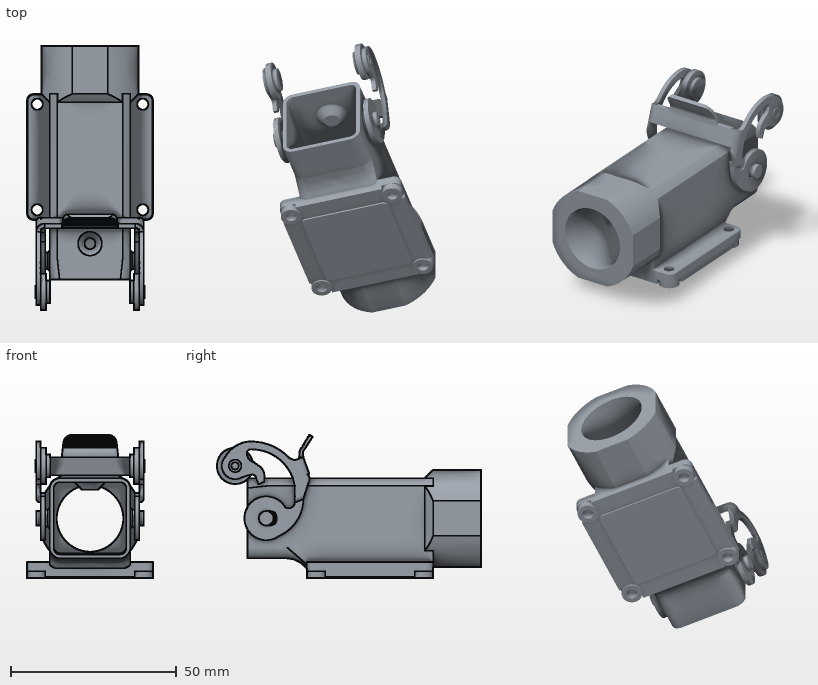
import cadquery as cq
import math


DIAGONAL = math.sqrt(0.5)
FILLET_INSET = 1 - DIAGONAL

PLATE_SIDE = 38.0
PLATE_TOP = 5.0
PLATE_CORNER = 2.1
PLATE_BEVEL = 0.2
HOLE_OFFSET = 15.9
HOLE_RADIUS = 1.65
FOOT_RADIUS = PLATE_SIDE / 2 - HOLE_OFFSET
FOOT_HEIGHT = 2.05
RELIEF_OFFSET = 13.5
PAD_SIDE = 2 * RELIEF_OFFSET
PAD_CORNER = 1.3
PAD_HEIGHT = 0.5
PLATE_HALF = PLATE_SIDE / 2

BODY_HALF = 12.15
AXIS_Z = 18.0
BODY_TOP = AXIS_Z + BODY_HALF

ENTRY_SIDE = 29.3
ENTRY_RADIUS = 15.57
ENTRY_END_Y = 33.5
ENTRY_TAPER = ENTRY_SIDE / 2 - BODY_HALF

ROOF_EDGE_STEP = 0.05
ROOF_EDGE_RADIUS = ENTRY_RADIUS + ROOF_EDGE_STEP
ROOF_EDGE_LEG = BODY_HALF - math.sqrt(ROOF_EDGE_RADIUS**2 - BODY_HALF**2)
ROOF_EDGE_INSET = BODY_HALF - ROOF_EDGE_RADIUS * DIAGONAL
ROOF_EDGE = (ROOF_EDGE_LEG, ROOF_EDGE_INSET)

MOUTH_Y = -36.9
MOUTH_TAPER_Y = -30.8
MOUTH_TOP_RADIUS = 3.0
MOUTH_BOTTOM = 5.93
MOUTH_BOTTOM_RADIUS = 3.3
RAMP_Y = -24.9
RAMP_FOOT_Z = 3.0
RAMP_FOOT_ROUND = 1.1
RAMP_SECTIONS = 4

WALL = 1.2
CAVITY_RADIUS = 2.0
FLOOR_DRAFT = 0.4
CAVITY_END_Y = 14.0
BORE_RADIUS = 10.0

DIMPLE_Y = -26.1
DIMPLE_TOP_RADIUS = 3.6
DIMPLE_FLOOR_RADIUS = 1.65
DIMPLE_DEPTH = 2.4
DIMPLE_WALL_TOP_RADIUS = 4.7
DIMPLE_WALL_END_RADIUS = 2.4
DIMPLE_WALL_END_Z = 26.6

PIVOT = (-31.25, 18.05)
PIVOT_CONE_RADIUS = 3.1
PIVOT_BOSS_RADIUS = 2.56
PIVOT_CONE_END = 12.75
PIN_RADIUS = 2.2
PIN_CLEARANCE = 1.0
PIVOT_DISC_RADIUS = 6.6

LOWER_ARM_INNER = 13.45
LOWER_ARM_OUTER = 14.9
ARM_OUTER = 16.25
ARM_THICKNESS = ARM_OUTER - LOWER_ARM_OUTER
JOG_ROUND = 1.3

BAR_TILT = 19.7
BAR_FOOT = (-19.26, 26.5)
BAR_LENGTH = 9.68
BEND_RADIUS = 2.6
BAR_CUTBACK = 3.3
WEB_FOOT = 4.3
WEB_TOP_Z = 36.45
WEB_STUB = 1.0
BAR_OVERLAP = 0.3

TAB_TOP = 43.2
TAB_FOOT_Z = 36.0
TAB_HALF_FOOT = 8.6
TAB_HALF_TOP = 7.8
TAB_CORNER = 2.8
GRIP_FIRST = (-18.64, 42.8)
GRIP_SLOPE = 58.8
GRIP_COUNT = 5
GRIP_PITCH = 0.95
GRIP_GROOVE_RADIUS = 0.25

ROLLER = (-40.63, 33.83)
ROLLER_RADIUS = 5.5
ROLLER_INNER = 13.2
ROLLER_BOSS_RADIUS = 3.5
ROLLER_BOSS_INNER = 12.0
ARM_END_RADIUS = 4.0
ARM_END_ANGLES = (137, 225, 300)
RIVET_RADIUS = 1.88
RIVET_OUTER = 16.45
RIVET_DIMPLE_RADIUS = 1.1
RIVET_DIMPLE_DEPTH = 0.2


def disc(centre, radius, x_start, x_end):
    """Cylinder along X about a (Y, Z) centre."""
    return cq.Workplane("YZ", origin=(x_start, *centre)).circle(radius).extrude(x_end - x_start)


def cone(start, direction, radius_start, radius_end, length):
    solid = cq.Solid.makeCone(radius_start, radius_end, length, cq.Vector(*start), cq.Vector(*direction))
    return cq.Workplane(obj=solid)


def box(x_range, y_range, z_range):
    size = [high - low for low, high in (x_range, y_range, z_range)]
    corner = (x_range[0], y_range[0], z_range[0])
    return cq.Workplane("XY", origin=corner).box(*size, centered=False)


def both_sides(half):
    return half.union(half.mirror("YZ"))


def fillet_round(radius):
    return radius, FILLET_INSET * radius


def tube_section(y, half, top, bottom, top_round, bottom_round):
    """Closed cross-section at Y with arcs across its corners.

    top_round is (leg along each side, inset of the arc's middle from the corner);
    bottom_round is (width, height).
    """
    leg, inset = top_round
    width, height = bottom_round
    inner_top = half - leg
    inner_bottom = half - width
    top_mid = (half - inset, top - inset)
    bottom_mid = (half - FILLET_INSET * width, bottom + FILLET_INSET * height)
    outline = (
        cq.Workplane("XZ", origin=(0, y, 0))
        .moveTo(-inner_top, top)
        .lineTo(inner_top, top)
        .threePointArc(top_mid, (half, top - leg))
        .lineTo(half, bottom + height)
        .threePointArc(bottom_mid, (inner_bottom, bottom))
        .lineTo(-inner_bottom, bottom)
        .threePointArc((-bottom_mid[0], bottom_mid[1]), (-half, bottom + height))
        .lineTo(-half, top - leg)
        .threePointArc((-top_mid[0], top_mid[1]), (-inner_top, top))
        .close()
    )
    return outline.ctx.pendingWires[0]


def ruled_loft(sections):
    return cq.Workplane(obj=cq.Solid.makeLoft(sections, True))


def base_plate():
    plate = box((-PLATE_HALF, PLATE_HALF), (-PLATE_HALF, PLATE_HALF), (0, PLATE_TOP))
    plate = plate.edges("|Z").fillet(PLATE_CORNER)
    envelope = plate
    plate = plate.faces(">Z").edges().chamfer(PLATE_BEVEL)
    pad = box((-PAD_SIDE / 2, PAD_SIDE / 2), (-PAD_SIDE / 2, PAD_SIDE / 2), (0, PAD_HEIGHT))
    pad = pad.edges("|Z").fillet(PAD_CORNER)
    plate = plate.cut(box((-PLATE_HALF, PLATE_HALF), (-PLATE_HALF, PLATE_HALF), (0, PAD_HEIGHT)))
    plate = plate.union(pad)
    relief_side = 2 * (PLATE_HALF - RELIEF_OFFSET)
    reliefs = (
        cq.Workplane("XY")
        .rect(PLATE_SIDE, PLATE_SIDE, forConstruction=True)
        .vertices()
        .rect(relief_side, relief_side)
        .extrude(FOOT_HEIGHT)
    )
    hole_grid = cq.Workplane("XY").rect(2 * HOLE_OFFSET, 2 * HOLE_OFFSET, forConstruction=True).vertices()
    feet = hole_grid.circle(FOOT_RADIUS).extrude(FOOT_HEIGHT).intersect(envelope)
    holes = hole_grid.circle(HOLE_RADIUS).extrude(PLATE_TOP)
    return plate.cut(reliefs).union(feet).cut(holes)


def ramp():
    """Underside between plate and mouth: an arc level at the mouth, with corners widening towards it."""
    run = -PLATE_HALF - RAMP_Y
    rise = MOUTH_BOTTOM - RAMP_FOOT_Z
    arc_radius = (run**2 + rise**2) / (2 * rise)
    edge_foot = RAMP_FOOT_Z + RAMP_FOOT_ROUND
    edge_slope = (MOUTH_BOTTOM + MOUTH_BOTTOM_RADIUS - edge_foot) / run
    sections = []
    for index in range(RAMP_SECTIONS):
        travel = run * index / (RAMP_SECTIONS - 1)
        bottom = MOUTH_BOTTOM - arc_radius + math.sqrt(arc_radius**2 - (run - travel) ** 2)
        corner_height = edge_foot + edge_slope * travel - bottom
        corner = (MOUTH_BOTTOM_RADIUS, corner_height)
        sections.append(tube_section(-PLATE_HALF - travel, BODY_HALF, BODY_TOP, bottom, ROOF_EDGE, corner))
    sleeve = cq.Workplane(obj=cq.Solid.makeLoft(sections, False))
    return sleeve.intersect(box((-BODY_HALF, BODY_HALF), (RAMP_Y, -PLATE_HALF), (0, AXIS_Z)))


def hood_body():
    axis_plane = cq.Workplane("XZ", origin=(0, PLATE_HALF, AXIS_Z))
    roof_barrel = axis_plane.circle(ROOF_EDGE_RADIUS).extrude(PLATE_HALF - MOUTH_TAPER_Y)
    roof = box((-BODY_HALF, BODY_HALF), (MOUTH_TAPER_Y, PLATE_HALF), (AXIS_Z, BODY_TOP))
    roof = roof.intersect(roof_barrel)
    lower_block = box((-BODY_HALF, BODY_HALF), (-PLATE_HALF, PLATE_HALF), (PAD_HEIGHT, AXIS_Z))

    lip_corner = fillet_round(MOUTH_TOP_RADIUS)
    mouth_corner = (MOUTH_BOTTOM_RADIUS, MOUTH_BOTTOM_RADIUS)
    straight = box((-BODY_HALF, BODY_HALF), (MOUTH_TAPER_Y, RAMP_Y), (MOUTH_BOTTOM, AXIS_Z))
    straight = straight.edges("|Y and <Z").fillet(MOUTH_BOTTOM_RADIUS)
    taper = ruled_loft([
        tube_section(MOUTH_TAPER_Y, BODY_HALF, BODY_TOP, MOUTH_BOTTOM, ROOF_EDGE, mouth_corner),
        tube_section(MOUTH_Y, BODY_HALF, BODY_TOP, MOUTH_BOTTOM, lip_corner, mouth_corner),
    ])
    return roof.union(lower_block).union(ramp()).union(straight).union(taper)


def cable_entry():
    """Square with cylindrical corners, tapering at 45 degrees into the body."""
    taper_end = PLATE_HALF - ENTRY_TAPER
    body_side = 2 * BODY_HALF
    taper = (
        cq.Workplane("XZ", origin=(0, PLATE_HALF, AXIS_Z))
        .rect(ENTRY_SIDE, ENTRY_SIDE)
        .workplane(offset=ENTRY_TAPER)
        .rect(body_side, body_side)
        .loft(ruled=True)
    )
    end_plane = cq.Workplane("XZ", origin=(0, ENTRY_END_Y, AXIS_Z))
    square = end_plane.rect(ENTRY_SIDE, ENTRY_SIDE).extrude(ENTRY_END_Y - PLATE_HALF)
    barrel = end_plane.circle(ENTRY_RADIUS).extrude(ENTRY_END_Y - taper_end)
    return square.union(taper).intersect(barrel)


def cavity():
    half = BODY_HALF - WALL
    roof = BODY_TOP - WALL
    floor = MOUTH_BOTTOM + WALL
    roof_corner = fillet_round(CAVITY_RADIUS)
    floor_corner = (CAVITY_RADIUS, CAVITY_RADIUS)
    hollow = ruled_loft([
        tube_section(CAVITY_END_Y, half, roof, floor + FLOOR_DRAFT, roof_corner, floor_corner),
        tube_section(MOUTH_Y, half, roof, floor, roof_corner, floor_corner),
    ])
    bore_plane = cq.Workplane("XZ", origin=(0, ENTRY_END_Y, AXIS_Z))
    bore = bore_plane.circle(BORE_RADIUS).extrude(ENTRY_END_Y - CAVITY_END_Y + CAVITY_RADIUS)
    return hollow.union(bore)


def add_dimple(body):
    lining_top = BODY_TOP - WALL
    down = (0, 0, -1)
    lining = cone(
        (0, DIMPLE_Y, lining_top), down,
        DIMPLE_WALL_TOP_RADIUS, DIMPLE_WALL_END_RADIUS, lining_top - DIMPLE_WALL_END_Z,
    )
    recess = cone((0, DIMPLE_Y, BODY_TOP), down, DIMPLE_TOP_RADIUS, DIMPLE_FLOOR_RADIUS, DIMPLE_DEPTH)
    return body.union(lining).cut(recess)


def pivot_post():
    root = BODY_HALF - WALL / 2
    flange = disc(PIVOT, PIVOT_CONE_RADIUS, root, BODY_HALF)
    taper = cone(
        (BODY_HALF, *PIVOT), (1, 0, 0),
        PIVOT_CONE_RADIUS, PIVOT_BOSS_RADIUS, PIVOT_CONE_END - BODY_HALF,
    )
    boss = disc(PIVOT, PIVOT_BOSS_RADIUS, PIVOT_CONE_END, LOWER_ARM_INNER)
    pin = disc(PIVOT, PIN_RADIUS, LOWER_ARM_INNER, ARM_OUTER)
    return flange.union(taper).union(boss).union(pin)


def lower_arm():
    thickness = LOWER_ARM_OUTER - LOWER_ARM_INNER
    arm = (
        cq.Workplane("YZ", origin=(LOWER_ARM_INNER, 0, 0))
        .moveTo(-22.61, 24.71)
        .lineTo(-19.59, 25.67)
        .lineTo(-20.07, 23.77)
        .threePointArc((-23.35, 15.57), (-28.2, 12.42))
        .lineTo(*PIVOT)
        .lineTo(-28.1, 23.77)
        .lineTo(-25.6, 21.37)
        .threePointArc((-23.7, 21.22), (-22.61, 22.77))
        .close()
        .extrude(thickness)
    )
    arm = arm.union(disc(PIVOT, PIVOT_DISC_RADIUS, LOWER_ARM_INNER, LOWER_ARM_OUTER))
    clearance = (
        cq.Workplane("YZ", origin=(LOWER_ARM_INNER, *PIVOT))
        .center(PIN_CLEARANCE / 2, 0)
        .slot2D(2 * PIN_RADIUS + PIN_CLEARANCE, 2 * PIN_RADIUS)
        .extrude(thickness)
    )
    return arm.cut(clearance)


def point_on_arm_end(angle):
    turn = math.radians(angle)
    return ROLLER[0] + ARM_END_RADIUS * math.cos(turn), ROLLER[1] + ARM_END_RADIUS * math.sin(turn)


def upper_arm():
    """Curved arm with an end disc at the roller and a hook curling back below it."""
    end_start, end_middle, end_finish = (point_on_arm_end(angle) for angle in ARM_END_ANGLES)
    arm = (
        cq.Workplane("YZ", origin=(LOWER_ARM_OUTER, 0, 0))
        .moveTo(-22.61, 22.82)
        .lineTo(-20.07, 23.77)
        .lineTo(*BAR_FOOT)
        .lineTo(-22.52, 35.6)
        .threePointArc((-23.5, 35.87), (-24.53, 36.46))
        .threePointArc((-29.3, 39.82), (-34.6, 41.16))
        .threePointArc((-39.9, 40.17), end_start)
        .threePointArc(end_middle, end_finish)
        .lineTo(-36.28, 31.09)
        .threePointArc((-35.2, 31.17), (-34.36, 30.37))
        .lineTo(-33.55, 28.22)
        .lineTo(-31.9, 29.07)
        .lineTo(-31.73, 30.47)
        .threePointArc((-32.0, 32.07), (-32.93, 33.49))
        .lineTo(-35.08, 35.03)
        .threePointArc((-36.3, 35.67), (-36.9, 36.77))
        .threePointArc((-36.8, 38.37), (-35.56, 38.77))
        .threePointArc((-26.8, 35.37), (-22.61, 27.57))
        .close()
        .extrude(ARM_THICKNESS)
    )
    return arm.faces("<Z").edges(">X").fillet(JOG_ROUND)


def roller():
    boss = disc(ROLLER, ROLLER_BOSS_RADIUS, ROLLER_BOSS_INNER, ROLLER_INNER)
    wheel = disc(ROLLER, ROLLER_RADIUS, ROLLER_INNER, LOWER_ARM_OUTER)
    rivet = disc(ROLLER, RIVET_RADIUS, LOWER_ARM_OUTER, RIVET_OUTER)
    dimple = disc(ROLLER, RIVET_DIMPLE_RADIUS, RIVET_OUTER - RIVET_DIMPLE_DEPTH, RIVET_OUTER)
    return boss.union(wheel).union(rivet).cut(dimple)


def cross_bar():
    """U-shaped sheet along the tilted fold line, cut back below and level on top."""
    outer = box((-ARM_OUTER, ARM_OUTER), (-BAR_OVERLAP, BEND_RADIUS), (0, BAR_LENGTH))
    outer = outer.edges("|Z and >Y").fillet(BEND_RADIUS)
    web_inner = BEND_RADIUS - ARM_THICKNESS
    inner = box((-LOWER_ARM_OUTER, LOWER_ARM_OUTER), (-BAR_OVERLAP, web_inner), (0, BAR_LENGTH))
    inner = inner.edges("|Z and >Y").fillet(web_inner)
    cutback = (
        cq.Workplane("YZ", origin=(-ARM_OUTER, 0, 0))
        .polyline([(0, 0), (BEND_RADIUS, 0), (BEND_RADIUS, BAR_CUTBACK)])
        .close()
        .extrude(2 * ARM_OUTER)
    )
    underside = box((-LOWER_ARM_OUTER, LOWER_ARM_OUTER), (-BAR_OVERLAP, BEND_RADIUS), (0, WEB_FOOT))
    web_half = ARM_OUTER - BEND_RADIUS
    web_tip = box(
        (-web_half, web_half),
        (web_inner, BEND_RADIUS),
        (BAR_LENGTH, BAR_LENGTH + WEB_STUB),
    )
    bar = outer.cut(inner).cut(cutback).cut(underside).union(web_tip)
    bar = bar.rotate((0, 0, 0), (1, 0, 0), BAR_TILT).translate((0, *BAR_FOOT))
    above_web = box((-web_half, web_half), (-PLATE_SIDE, 0), (WEB_TOP_Z, TAB_TOP))
    return bar.cut(above_web)


def thumb_tab():
    """Bent sheet tab tapering to a rounded top, grooved across its gripping face."""
    sheet = (
        cq.Workplane("YZ", origin=(-TAB_HALF_FOOT, 0, 0))
        .moveTo(-19.9, TAB_FOOT_Z)
        .lineTo(-20.1, 37.2)
        .threePointArc((-20.15, 37.9), (-19.9, 38.5))
        .lineTo(-17.2, 42.65)
        .lineTo(-18.3, TAB_TOP)
        .lineTo(-20.9, 38.9)
        .threePointArc((-21.3, 37.6), (-21.1, TAB_FOOT_Z))
        .close()
        .extrude(2 * TAB_HALF_FOOT)
    )
    trapezoid = [
        (-TAB_HALF_FOOT, TAB_FOOT_Z),
        (TAB_HALF_FOOT, TAB_FOOT_Z),
        (TAB_HALF_TOP, TAB_TOP),
        (-TAB_HALF_TOP, TAB_TOP),
    ]
    outline = cq.Workplane("XZ").polyline(trapezoid).close().extrude(-MOUTH_Y)
    outline = outline.faces(">Z").edges("|Y").fillet(TAB_CORNER)
    tab = sheet.intersect(outline)
    slope = math.radians(GRIP_SLOPE)
    for index in range(GRIP_COUNT):
        drop = index * GRIP_PITCH
        centre = (GRIP_FIRST[0] - drop * math.cos(slope), GRIP_FIRST[1] - drop * math.sin(slope))
        tab = tab.cut(disc(centre, GRIP_GROOVE_RADIUS, -TAB_HALF_FOOT, TAB_HALF_FOOT))
    return tab


def housing():
    shell = hood_body().union(cable_entry()).union(base_plate())
    return add_dimple(shell.cut(cavity()))


def lever():
    side = lower_arm().union(upper_arm()).union(roller())
    return both_sides(side).union(cross_bar()).union(thumb_tab())


result = housing().union(both_sides(pivot_post())).union(lever())